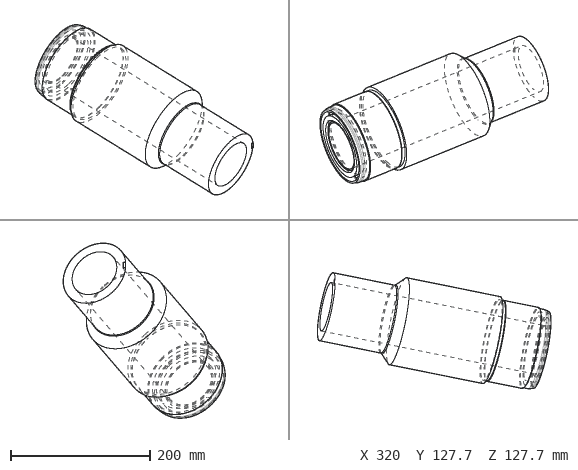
import cadquery as cq

TOTAL_LENGTH = 320.0
NUB_HEIGHT = 1.0
PIPE_END = TOTAL_LENGTH - NUB_HEIGHT
LEAD_IN_LENGTH = 3.2
SECOND_TAPER_END = 5.0
COLLAR_TIP_START = 7.7
COLLAR_START = 15.0
COLLAR_TAPER = 1.0
LIP_START = 68.0
LIP_TAPER = 1.0
BODY_START = 73.5
BODY_END = 212.5
SHOULDER_END = 226.0
PIPE_START = 228.0

LIP_DROP = 0.3
TIP_RADIUS = 56.3
LEAD_IN_RADIUS = 57.3
SECOND_TAPER_RADIUS = 58.0
COLLAR_TIP_RADIUS = 58.2
COLLAR_RADIUS = 59.5
LIP_RADIUS = COLLAR_RADIUS - LIP_DROP
BODY_RADIUS = 63.85
SHOULDER_RADIUS = 50.5
PIPE_RADIUS = 50.0

BORE_RADIUS = 35.5
BORE_CHAMFER = 0.3
MOUTH_RADIUS = 37.8
MOUTH_CHAMFER = 2.2

GROOVE_INNER_RADIUS = 47.5
GROOVE_OUTER_RADIUS = 53.5
GROOVE_DEPTH = 12.8

NUB_WIDTH = 9.5
NUB_THICKNESS = 4.0


def revolve_profile(points):
    """Revolve a closed outline of (axial position, radius) points about the X axis."""
    return cq.Workplane("XY").polyline(points).close().revolve(360, (0, 0), (1, 0))


def outer_body():
    return revolve_profile([
        (0, 0),
        (0, TIP_RADIUS),
        (LEAD_IN_LENGTH, LEAD_IN_RADIUS),
        (SECOND_TAPER_END, SECOND_TAPER_RADIUS),
        (COLLAR_TIP_START, COLLAR_TIP_RADIUS),
        (COLLAR_START, COLLAR_TIP_RADIUS),
        (COLLAR_START + COLLAR_TAPER, COLLAR_RADIUS),
        (LIP_START, COLLAR_RADIUS),
        (LIP_START + LIP_TAPER, LIP_RADIUS),
        (BODY_START, LIP_RADIUS),
        (BODY_START, BODY_RADIUS),
        (BODY_END, BODY_RADIUS),
        (SHOULDER_END, SHOULDER_RADIUS),
        (PIPE_START, PIPE_RADIUS),
        (PIPE_END, PIPE_RADIUS),
        (PIPE_END, 0),
    ])


def bore():
    """Through bore with a conical, stepped mouth at the collar end."""
    return revolve_profile([
        (0, 0),
        (0, MOUTH_RADIUS + MOUTH_CHAMFER),
        (MOUTH_CHAMFER, MOUTH_RADIUS),
        (MOUTH_CHAMFER, BORE_RADIUS + BORE_CHAMFER),
        (MOUTH_CHAMFER + BORE_CHAMFER, BORE_RADIUS),
        (PIPE_END, BORE_RADIUS),
        (PIPE_END, 0),
    ])


def face_groove():
    return (
        cq.Workplane("YZ")
        .circle(GROOVE_OUTER_RADIUS)
        .circle(GROOVE_INNER_RADIUS)
        .extrude(GROOVE_DEPTH)
    )


def end_nub():
    """Block on the pipe end, trimmed to the curve of the pipe's outside."""
    block = (
        cq.Workplane("YZ", origin=(PIPE_END, PIPE_RADIUS - NUB_THICKNESS / 2, 0))
        .rect(NUB_THICKNESS, NUB_WIDTH)
        .extrude(NUB_HEIGHT)
    )
    pipe_envelope = cq.Workplane("YZ").circle(PIPE_RADIUS).extrude(TOTAL_LENGTH)
    return block.intersect(pipe_envelope)


result = outer_body().cut(bore()).cut(face_groove()).union(end_nub())